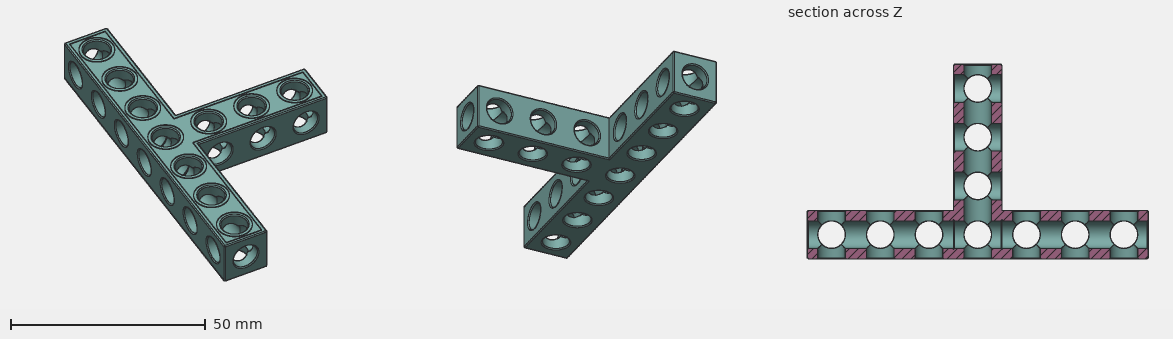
import cadquery as cq
import math

unit = 12.5
bar_units = 7
stem_units = 3
hole_diameter = 7.0
hole_chamfer = 0.3
edge_chamfer = 0.3

cutter_margin = 1.0

rim_width = 1.1
collar_diameter = 9.2
recess_depth = 0.2

bar_length = bar_units * unit
total_depth = (stem_units + 1) * unit
half_unit = unit / 2

bar_positions = [(i - (bar_units - 1) / 2) * unit for i in range(bar_units)]
stem_positions = [(i + 1) * unit for i in range(stem_units)]
hole_centres = [(x, 0) for x in bar_positions] + [(0, y) for y in stem_positions]


def tee_block(inset, height):
    """T-shaped block with its outline moved inward by inset, standing on Z = 0."""
    bar = cq.Workplane("XY").box(
        bar_length - 2 * inset, unit - 2 * inset, height, centered=(True, True, False)
    )
    stem = (
        cq.Workplane("XY")
        .box(unit - 2 * inset, total_depth - 2 * inset, height, centered=(True, False, False))
        .translate((0, inset - half_unit, 0))
    )
    return bar.union(stem).clean()


def chamfer_outer_edges(block):
    """Chamfer every edge except the two inner corners between bar and stem, which stay sharp."""
    inner_corner_distance = math.hypot(half_unit, half_unit)

    def is_inner_corner(edge):
        middle = edge.Center()
        return math.isclose(math.hypot(middle.x, middle.y), inner_corner_distance)

    inner_corners = [edge for edge in block.edges("|Z").vals() if is_inner_corner(edge)]
    outer_edges = [edge for edge in block.edges().vals() if edge not in inner_corners]
    return block.newObject(outer_edges).chamfer(edge_chamfer)


def hole_cutter(length):
    """Through-hole along Z, centred on the origin, with both mouths chamfered."""
    mouth_radius = hole_diameter / 2 + hole_chamfer
    shank = cq.Workplane("XY").circle(hole_diameter / 2).extrude(length / 2 + cutter_margin, both=True)
    mouth = cq.Workplane("XY").workplane(offset=length / 2 - hole_chamfer)
    mouth = mouth.circle(hole_diameter / 2).workplane(offset=hole_chamfer).circle(mouth_radius).loft()
    return shank.union(mouth).union(mouth.mirror("XY"))


def along_x(cutter):
    """Turn a cutter from the Z axis onto the X axis."""
    return cutter.rotate((0, 0, 0), (0, 1, 0), 90)


def along_y(cutter):
    """Turn a cutter from the Z axis onto the Y axis."""
    return cutter.rotate((0, 0, 0), (1, 0, 0), 90)


def cut_holes(body):
    """Drill the grid holes along all three axes."""
    cross_hole = hole_cutter(unit)
    for x, y in hole_centres:
        body = body.cut(cross_hole.translate((x, y, 0)))
    for x in bar_positions:
        if x != 0:
            body = body.cut(along_y(cross_hole).translate((x, 0, 0)))
    for y in [0] + stem_positions:
        body = body.cut(along_x(cross_hole).translate((0, y, 0)))

    bar_hole = along_x(hole_cutter(bar_length))
    stem_hole = along_y(hole_cutter(total_depth)).translate((0, total_depth / 2 - half_unit, 0))
    return body.cut(bar_hole).cut(stem_hole)


def top_recess():
    """Pocket volume inside the rim, leaving a round collar at every vertical hole."""
    pocket = tee_block(rim_width, recess_depth + cutter_margin)
    collars = (
        cq.Workplane("XY")
        .pushPoints(hole_centres)
        .circle(collar_diameter / 2)
        .extrude(recess_depth + cutter_margin)
    )
    return pocket.cut(collars).translate((0, 0, half_unit - recess_depth))


body = chamfer_outer_edges(tee_block(0, unit).translate((0, 0, -half_unit)))
body = cut_holes(body)
result = body.cut(top_recess())